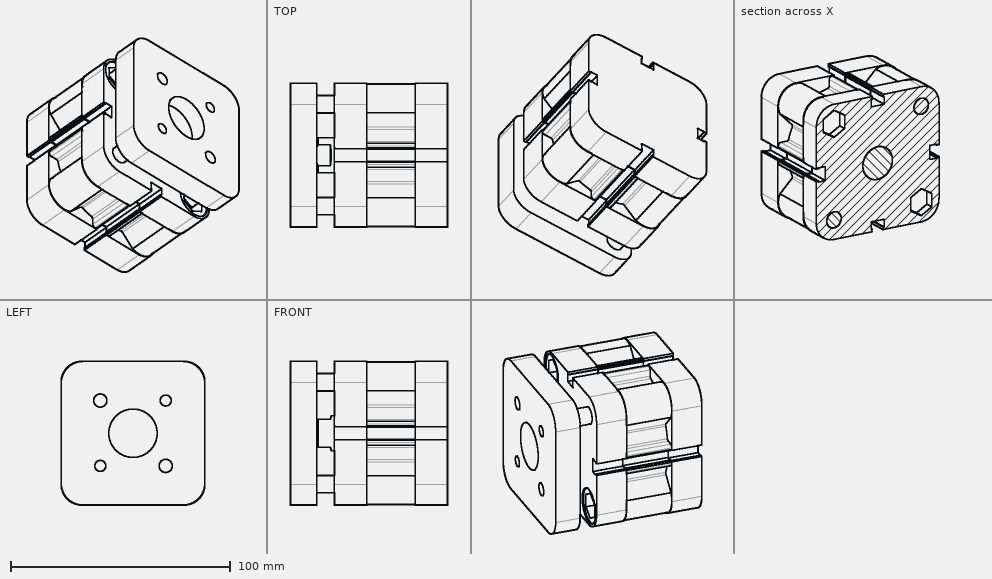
import cadquery as cq
import math


total_length = 71.5
width = 65.5
plate_thickness = 12.0
gap = 8.0
cap_length = 14.65
housing_start = plate_thickness + gap
tube_start = housing_start + cap_length
rear_cap_start = total_length - cap_length

corner_radius = 9.6
corner_offset = width / 2 - corner_radius
quarter_turns = (0, 90, 180, 270)

pocket_diameter = 22.0
pocket_depth = 8.0
small_hole_offset = 14.9
clearance_hole_diameter = 6.0
threaded_hole_diameter = 5.0

guide_rod_diameter = 8.0
piston_rod_diameter = 16.0
piston_rod_chamfer = 0.6
wrench_width = 12.9
wrench_flat_length = 6.15
wrench_flat_runout = 0.4
rod_end = tube_start

barrel_radius = 27.75
lobe_radius = 9.3
lobe_width = 17.45
root_fillet = 1.0
tube_half_width = corner_offset + lobe_radius

rail_half_width = 5.5
rail_edge_radius = 1.3

slot_lip_bottom = 31.4
cap_slot_floor = 27.9
tube_slot_floor = 28.2
cap_slot_half_width = 3.3
cap_slot_mouth_half_width = 2.9
tube_slot_half_width = 2.85
tube_slot_mouth_half_width = 2.65
tube_slot_chamfer_width = 0.65
tube_slot_chamfer_depth = 0.4

screw_recess_diameter = 16.7
screw_recess_depth = 0.65
socket_width = 11.0
socket_depth = 6.7


def section_plane(x):
    """Plane across the X axis, with local axes along Y and Z."""
    return cq.Workplane("YZ", origin=(x, 0, 0))


def around_axis(shape):
    """Copies of a shape, one on each of the four sides."""
    return [shape.rotate((0, 0, 0), (1, 0, 0), angle) for angle in quarter_turns]


def rounded_block(x, length):
    block = section_plane(x).rect(width, width).extrude(length)
    return block.edges("|X").fillet(corner_radius)


def opposite_points(y, z):
    return [(y, z), (-y, -z)]


def make_plate():
    plate = rounded_block(0, plate_thickness)
    plate = plate.cut(section_plane(0).circle(pocket_diameter / 2).extrude(pocket_depth))
    for side, diameter in ((1, clearance_hole_diameter), (-1, threaded_hole_diameter)):
        points = opposite_points(side * small_hole_offset, small_hole_offset)
        holes = section_plane(0).pushPoints(points).circle(diameter / 2).extrude(plate_thickness)
        plate = plate.cut(holes)
    return plate


def make_guide_rod(y, z):
    rod = section_plane(plate_thickness).center(y, z).circle(guide_rod_diameter / 2)
    return rod.extrude(rod_end - plate_thickness)


def make_piston_rod():
    radius = piston_rod_diameter / 2
    rod = section_plane(plate_thickness).circle(radius).extrude(rod_end - plate_thickness)
    rod = rod.faces("<X").chamfer(piston_rod_chamfer)
    flat_end = plate_thickness + wrench_flat_length
    flat = (
        cq.Workplane("XZ")
        .moveTo(plate_thickness, wrench_width / 2)
        .lineTo(flat_end, wrench_width / 2)
        .lineTo(flat_end + wrench_flat_runout, radius)
        .lineTo(plate_thickness, radius)
        .close()
        .extrude(radius, both=True)
    )
    return rod.cut(flat).cut(flat.mirror("XY"))


def sensor_slot(x, length, half_width, mouth_half_width, floor, top):
    """Cutter for a slot along X on the +Z side, with a narrower mouth up to the given height."""
    slot = section_plane(x).center(0, (floor + slot_lip_bottom) / 2)
    slot = slot.rect(2 * half_width, slot_lip_bottom - floor).extrude(length)
    mouth = section_plane(x).center(0, (floor + top) / 2)
    mouth = mouth.rect(2 * mouth_half_width, top - floor).extrude(length)
    return slot.union(mouth)


def make_cap(x):
    cap = rounded_block(x, cap_length)
    slot = sensor_slot(
        x, cap_length, cap_slot_half_width, cap_slot_mouth_half_width, cap_slot_floor, width / 2
    )
    for cutter in around_axis(slot):
        cap = cap.cut(cutter)
    return cap


def corner_lobe(x, length):
    """Web from the tube axis to one corner, ending in an arc about the corner axis."""
    axis_distance = corner_offset * math.sqrt(2)
    half = lobe_width / 2
    arc_start = axis_distance + math.sqrt(lobe_radius**2 - half**2)
    lobe = (
        section_plane(x)
        .moveTo(0, -half)
        .lineTo(arc_start, -half)
        .threePointArc((axis_distance + lobe_radius, 0), (arc_start, half))
        .lineTo(0, half)
        .close()
        .extrude(length)
    )
    return lobe.rotate((0, 0, 0), (1, 0, 0), 45)


def slot_rail(x, length):
    """Block carrying one sensor slot, with rounded outer edges."""
    rail = section_plane(x).center(0, tube_half_width / 2)
    rail = rail.rect(2 * rail_half_width, tube_half_width).extrude(length)
    return rail.edges("|X and >Z").fillet(rail_edge_radius)


def tube_slot(x, length):
    """Sensor slot with chamfered outer edges."""
    chamfer_bottom = tube_half_width - tube_slot_chamfer_depth
    outer_half_width = tube_slot_mouth_half_width + tube_slot_chamfer_width
    lead_in = (
        section_plane(x)
        .moveTo(-tube_slot_mouth_half_width, chamfer_bottom)
        .lineTo(-outer_half_width, tube_half_width)
        .lineTo(outer_half_width, tube_half_width)
        .lineTo(tube_slot_mouth_half_width, chamfer_bottom)
        .close()
        .extrude(length)
    )
    slot = sensor_slot(
        x, length, tube_slot_half_width, tube_slot_mouth_half_width, tube_slot_floor, tube_half_width
    )
    return slot.union(lead_in)


def root_edges(tube, y, z):
    """The eight edges along X where a web or rail leaves the barrel, given one of them."""
    middle_x = (tube_start + rear_cap_start) / 2
    long_edges = tube.edges("|X")
    edges = []
    for a, b in ((y, z), (z, y)):
        for sign_a in (1, -1):
            for sign_b in (1, -1):
                point = (middle_x, sign_a * a, sign_b * b)
                edges += long_edges.edges(cq.selectors.NearestToPointSelector(point)).vals()
    return tube.newObject(edges)


def make_tube():
    length = rear_cap_start - tube_start
    tube = section_plane(tube_start).circle(barrel_radius).extrude(length)
    for lobe in around_axis(corner_lobe(tube_start, length)):
        tube = tube.union(lobe)
    for rail in around_axis(slot_rail(tube_start, length)):
        tube = tube.union(rail)

    lobe_half_angle = math.asin(lobe_width / 2 / barrel_radius)
    lobe_root = math.pi / 4 - lobe_half_angle
    lobe_y, lobe_z = barrel_radius * math.sin(lobe_root), barrel_radius * math.cos(lobe_root)
    tube = root_edges(tube, lobe_y, lobe_z).fillet(root_fillet)
    rail_z = math.sqrt(barrel_radius**2 - rail_half_width**2)
    tube = root_edges(tube, rail_half_width, rail_z).fillet(root_fillet)

    for slot in around_axis(tube_slot(tube_start, length)):
        tube = tube.cut(slot)
    return tube


def screw_head_recess():
    points = opposite_points(corner_offset, corner_offset)
    recess = section_plane(housing_start).pushPoints(points)
    recess = recess.circle(screw_recess_diameter / 2).extrude(screw_recess_depth)
    across_corners = socket_width / math.cos(math.pi / 6)
    for y, z in points:
        socket = section_plane(housing_start + screw_recess_depth).polygon(6, across_corners)
        socket = socket.extrude(socket_depth).rotate((0, 0, 0), (1, 0, 0), 90)
        recess = recess.union(socket.translate((0, y, z)))
    return recess


def make_housing(rods):
    housing = make_cap(housing_start).union(make_tube()).union(make_cap(rear_cap_start))
    housing = housing.cut(screw_head_recess())
    for rod in rods:
        housing = housing.cut(rod)
    return housing


plate = make_plate()
guide_rods = [make_guide_rod(y, z) for y, z in opposite_points(-corner_offset, corner_offset)]
piston_rod = make_piston_rod()
housing = make_housing([piston_rod, *guide_rods])

result = cq.Compound.makeCompound(
    [plate.val(), piston_rod.val(), *[rod.val() for rod in guide_rods], housing.val()]
)